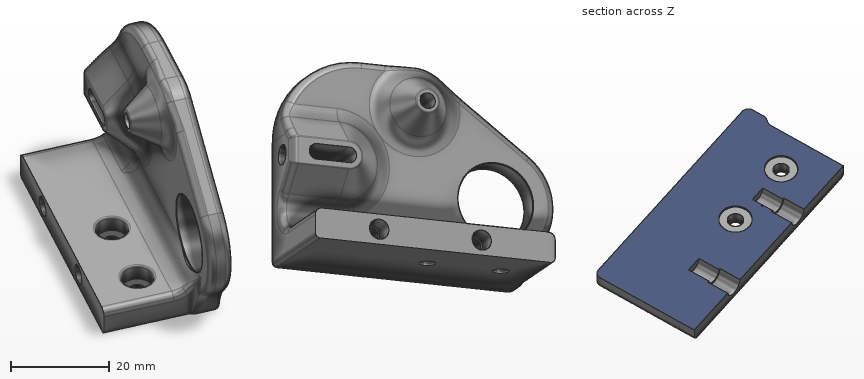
import cadquery as cq
import math

DEPTH = 25.0
PLATE_THICKNESS = 5.0
PLATE_FRONT = -PLATE_THICKNESS
BASE_WIDTH = 52.4
BASE_HEIGHT = 6.35
SLAB_SIZE = 80.0

CONE_X = 29.6
CONE_Z = 35.18
CONE_TIP_Y = -12.25
CONE_TIP_RADIUS = 2.5
CONE_HALF_ANGLE = 34.8

SLOT_LEFT_X = 5.6
SLOT_RIGHT_X = 12.6
SLOT_Z = 22.15
SLOT_TIP_Y = -11.75
SLOT_TIP_RADIUS = 2.9
SLOT_HALF_ANGLE = 45.0

BORE_X = 47.3
BORE_Z = 17.5
BORE_RADIUS = 8.15
BORE_CHAMFER = 0.15
BORE_CHAMFER_ANGLE = 45.0

LEFT_CORNER_RADIUS = 18.0
CONE_CORNER_RADIUS = 9.0
LUG_RADIUS = 13.0
LUG_END_ANGLE = -42.0
PLATE_TOP = CONE_Z + CONE_CORNER_RADIUS

BASE_FILLET = 5.0
BOSS_FILLET = 4.5
SIDE_FILLET = 2.0
EDGE_FILLET = 1.5
BOTTOM_FILLET = 1.0
TIP_FILLET = 0.3

SCREW_RADIUS = 1.65
INSERT_RADIUS = 2.1
INSERT_DEPTH = 5.0
PILOT_RADIUS = 1.75
PILOT_DEPTH = 10.0
SIDE_HOLE_Y = -6.7
FRONT_HOLE_XS = (13.95, 36.35)
FRONT_HOLE_Z = BASE_HEIGHT / 2

BASE_HOLE_XS = (28.4, 44.4)
BASE_HOLE_Y = -15.1
COUNTERBORE_RADIUS = 3.35
COUNTERBORE_DEPTH = 3.5
COUNTERBORE_FILLET = 0.4

TOLERANCE = 0.02


def polar(center_x, center_z, radius, degrees):
    """Point on a circle in the XZ plane."""
    angle = math.radians(degrees)
    return center_x + radius * math.cos(angle), center_z + radius * math.sin(angle)


def box(x0, x1, y0, y1, z0, z1):
    return cq.Workplane("XY").box(x1 - x0, y1 - y0, z1 - z0, centered=False).translate((x0, y0, z0))


def within(x0, x1, y0, y1, z0, z1):
    """Selector for the edges whose centre lies in the given box."""
    return cq.selectors.BoxSelector(
        (x0 - TOLERANCE, y0 - TOLERANCE, z0 - TOLERANCE),
        (x1 + TOLERANCE, y1 + TOLERANCE, z1 + TOLERANCE),
    )


def plate_outline():
    """Closed outline of the plate, clockwise from its lower left corner."""
    slope_x = BORE_X - CONE_X
    slope_z = BORE_Z - CONE_Z
    center_line_angle = math.degrees(math.atan2(slope_z, slope_x))
    radius_step = CONE_CORNER_RADIUS - LUG_RADIUS
    normal_offset = math.degrees(math.acos(radius_step / math.hypot(slope_x, slope_z)))
    slope_normal = center_line_angle + normal_offset

    end_cosine = math.cos(math.radians(LUG_END_ANGLE))
    hollow_radius = (BORE_X + LUG_RADIUS * end_cosine - BASE_WIDTH) / (1 - end_cosine)
    hollow_center = polar(BORE_X, BORE_Z, LUG_RADIUS + hollow_radius, LUG_END_ANGLE)
    hollow_start_angle = 180 + LUG_END_ANGLE
    hollow_end_angle = 180 - math.degrees(math.asin(-hollow_center[1] / hollow_radius))
    hollow_middle_angle = (hollow_start_angle + hollow_end_angle) / 2

    left_corner_z = PLATE_TOP - LEFT_CORNER_RADIUS
    return (
        cq.Workplane("XZ")
        .lineTo(0, left_corner_z)
        .threePointArc(
            polar(LEFT_CORNER_RADIUS, left_corner_z, LEFT_CORNER_RADIUS, 135),
            (LEFT_CORNER_RADIUS, PLATE_TOP),
        )
        .lineTo(CONE_X, PLATE_TOP)
        .threePointArc(
            polar(CONE_X, CONE_Z, CONE_CORNER_RADIUS, (90 + slope_normal) / 2),
            polar(CONE_X, CONE_Z, CONE_CORNER_RADIUS, slope_normal),
        )
        .lineTo(*polar(BORE_X, BORE_Z, LUG_RADIUS, slope_normal))
        .threePointArc(
            polar(BORE_X, BORE_Z, LUG_RADIUS, (slope_normal + LUG_END_ANGLE) / 2),
            polar(BORE_X, BORE_Z, LUG_RADIUS, LUG_END_ANGLE),
        )
        .threePointArc(
            polar(*hollow_center, hollow_radius, hollow_middle_angle),
            polar(*hollow_center, hollow_radius, hollow_end_angle),
        )
        .close()
    )


def cone(x, z, tip_y, tip_radius, half_angle):
    """Truncated cone along Y; a positive half angle narrows it from the back plane to its tip."""
    root_radius = tip_radius - tip_y * math.tan(math.radians(half_angle))
    return (
        cq.Workplane("XY")
        .lineTo(root_radius, 0)
        .lineTo(tip_radius, tip_y)
        .lineTo(0, tip_y)
        .close()
        .revolve(360, (0, 0, 0), (0, 1, 0))
        .translate((x, 0, z))
    )


def cone_boss():
    boss = cone(CONE_X, CONE_Z, CONE_TIP_Y, CONE_TIP_RADIUS, CONE_HALF_ANGLE)
    return boss.faces("<Y").edges().fillet(TIP_FILLET)


def slot_boss():
    root_radius = SLOT_TIP_RADIUS - SLOT_TIP_Y * math.tan(math.radians(SLOT_HALF_ANGLE))
    ridge = (
        cq.Workplane("YZ")
        .moveTo(0, SLOT_Z - root_radius)
        .lineTo(SLOT_TIP_Y, SLOT_Z - SLOT_TIP_RADIUS)
        .lineTo(SLOT_TIP_Y, SLOT_Z + SLOT_TIP_RADIUS)
        .lineTo(0, SLOT_Z + root_radius)
        .close()
        .extrude(SLOT_RIGHT_X)
    )
    right_of_ridge = box(SLOT_RIGHT_X, SLAB_SIZE, -DEPTH, 0, 0, SLAB_SIZE)
    round_end = cone(SLOT_RIGHT_X, SLOT_Z, SLOT_TIP_Y, SLOT_TIP_RADIUS, SLOT_HALF_ANGLE)
    boss = ridge.union(round_end.intersect(right_of_ridge))
    return boss.faces("<Y").edges("not <X").fillet(TIP_FILLET)


def add_slot_boss(body):
    body = body.union(slot_boss())
    lowest = BASE_HEIGHT + BASE_FILLET + 2 * TOLERANCE
    root = within(2 * TOLERANCE, SLAB_SIZE / 2, PLATE_FRONT, PLATE_FRONT, lowest, PLATE_TOP)
    return body.edges(root).fillet(BOSS_FILLET)


def add_cone_boss(body):
    body = body.union(cone_boss())
    reach = CONE_CORNER_RADIUS
    root = within(CONE_X - reach, CONE_X + reach, PLATE_FRONT, PLATE_FRONT, CONE_Z - reach, PLATE_TOP)
    return body.edges("%CIRCLE").edges(root).fillet(BOSS_FILLET)


def blended_bracket():
    """Base, plate and bosses with all inner corners rounded, cut to the plate outline."""
    base = box(0, BASE_WIDTH, -DEPTH, 0, 0, BASE_HEIGHT)
    slab = box(0, SLAB_SIZE, PLATE_FRONT, 0, 0, SLAB_SIZE)
    body = slab.union(base)
    top_corner = within(0, BASE_WIDTH, PLATE_FRONT, PLATE_FRONT, BASE_HEIGHT, BASE_HEIGHT)
    body = body.edges(top_corner).fillet(BASE_FILLET)
    side_corner = within(BASE_WIDTH, BASE_WIDTH, PLATE_FRONT, PLATE_FRONT, 0, BASE_HEIGHT + BASE_FILLET)
    body = body.edges("|Z").edges(side_corner).fillet(SIDE_FILLET)
    body = add_cone_boss(add_slot_boss(body))
    return body.intersect(plate_outline().extrude(DEPTH).union(base))


def rim_edges(body):
    """Front edges of the walls that follow the plate outline, without base end and underside."""
    edges = []
    for wall in body.faces("not(<Y or >Y or <Z)").vals():
        reaches_back = wall.BoundingBox().ymax > -TOLERANCE
        for edge in wall.Edges():
            extent = edge.BoundingBox()
            on_front = extent.ymax < PLATE_FRONT + TOLERANCE
            on_base_end = extent.ymax < TOLERANCE - DEPTH
            on_underside = extent.zmax < TOLERANCE
            if reaches_back and on_front and not on_base_end and not on_underside:
                edges.append(edge)
    return edges


def right_base_edges(body):
    """Upper right edge of the base and its continuation up the corner to the plate."""
    run = within(
        BASE_WIDTH,
        BASE_WIDTH + SIDE_FILLET - 3 * TOLERANCE,
        2 * TOLERANCE - DEPTH,
        PLATE_FRONT,
        BASE_HEIGHT,
        BASE_HEIGHT + BASE_FILLET,
    )
    return body.edges(run).vals()


def round_outer_edges(body):
    body = body.newObject(rim_edges(body) + right_base_edges(body)).fillet(EDGE_FILLET)
    body = body.faces(">Y").edges("not <Z").fillet(EDGE_FILLET)
    return body.faces("<Z").edges("not <Y").fillet(BOTTOM_FILLET)


def cut_plate_holes(body):
    bore = cq.Workplane("XZ").center(BORE_X, BORE_Z).circle(BORE_RADIUS).extrude(DEPTH)
    mouth = cone(BORE_X, BORE_Z, -BORE_CHAMFER, BORE_RADIUS + BORE_CHAMFER, -BORE_CHAMFER_ANGLE)
    mouth = mouth.translate((0, PLATE_FRONT + BORE_CHAMFER, 0))
    cone_hole = cq.Workplane("XZ").center(CONE_X, CONE_Z).circle(SCREW_RADIUS).extrude(DEPTH)
    slot = (
        cq.Workplane("XZ")
        .center((SLOT_LEFT_X + SLOT_RIGHT_X) / 2, SLOT_Z)
        .slot2D(SLOT_RIGHT_X - SLOT_LEFT_X + 2 * SCREW_RADIUS, 2 * SCREW_RADIUS)
        .extrude(DEPTH)
    )
    side_hole = cq.Workplane("YZ").center(SIDE_HOLE_Y, SLOT_Z).circle(INSERT_RADIUS).extrude(INSERT_DEPTH)
    return body.cut(bore).cut(mouth).cut(cone_hole).cut(slot).cut(side_hole)


def front_hole(x):
    """Blind insert hole with a narrower pilot hole behind it."""
    end = cq.Workplane("XZ", origin=(x, -DEPTH, FRONT_HOLE_Z))
    insert = end.circle(INSERT_RADIUS).extrude(-INSERT_DEPTH)
    return insert.union(end.circle(PILOT_RADIUS).extrude(-PILOT_DEPTH))


def base_hole(x):
    """Through hole with a counterbore whose mouth is rounded."""
    floor = BASE_HEIGHT - COUNTERBORE_DEPTH
    mouth_radius = COUNTERBORE_RADIUS + COUNTERBORE_FILLET
    arc_middle = polar(mouth_radius, BASE_HEIGHT - COUNTERBORE_FILLET, COUNTERBORE_FILLET, 135)
    return (
        cq.Workplane("XZ")
        .lineTo(SCREW_RADIUS, 0)
        .lineTo(SCREW_RADIUS, floor)
        .lineTo(COUNTERBORE_RADIUS, floor)
        .lineTo(COUNTERBORE_RADIUS, BASE_HEIGHT - COUNTERBORE_FILLET)
        .threePointArc(arc_middle, (mouth_radius, BASE_HEIGHT))
        .lineTo(0, BASE_HEIGHT)
        .close()
        .revolve(360, (0, 0, 0), (0, 1, 0))
        .translate((x, BASE_HOLE_Y, 0))
    )


def cut_base_holes(body):
    for x in FRONT_HOLE_XS:
        body = body.cut(front_hole(x))
    for x in BASE_HOLE_XS:
        body = body.cut(base_hole(x))
    return body


result = cut_base_holes(cut_plate_holes(round_outer_edges(blended_bracket())))